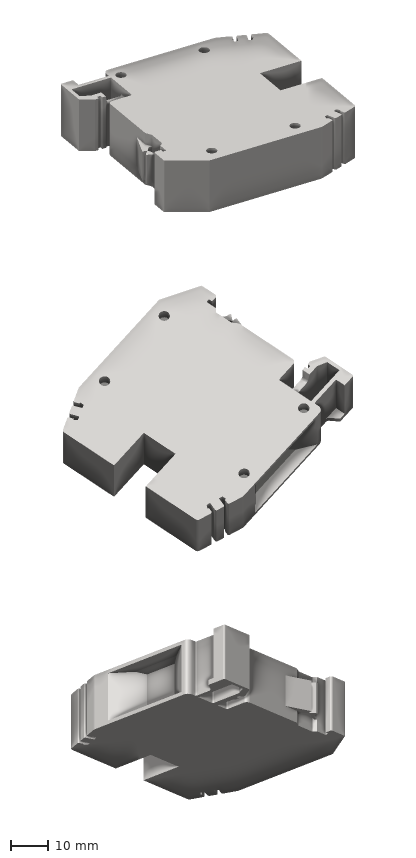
import cadquery as cq
import math

width = 56.0
height = 62.0
thickness = 16.0
half_width = width / 2

shoulder_y = 48.4
top_half_width = 23.0
taper_run = half_width - top_half_width
taper_length = math.hypot(taper_run, height - shoulder_y)
taper_x = -taper_run / taper_length
taper_y = -(height - shoulder_y) / taper_length

slots = [(5.3, -1), (9.2, 1)]
slot_width = 1.1
slot_depth = 2.9
slot_overshoot = 0.6
barb_length = 1.2
barb_height = 0.45
lip_radius = 0.45

belly_corner_radius = 1.5
step_corner_radius = 1.2
small_corner_radius = 0.4
jaw_corner_radius = 0.6
top_corner_radius = 0.9
shoulder_radius = 1.85
foot_corner_radius = 0.45
hook_corner_radius = 0.3
wedge_root_radius = 1.1
root_radius = 0.45

notch_width = 10.8
notch_floor_y = 49.0

belly_y = 13.45
rail_y = 5.95
step_x = -12.95
jaw_inner_x = 16.4
jaw_groove_x = 17.5
jaw_lip_y = 4.9
jaw_bottom_y = 2.65
jaw_outer_x = 21.7
chamfer_top_y = 13.2

recess_y = 7.0
recess_start_x = 6.45
recess_left_x = 8.25
recess_right_x = 13.5
recess_end_x = 14.25

latch_height = 9.0
latch_start_x = 2.0
latch_tip_y = 3.3
latch_meeting_y = 4.7
left_tongue_tip_x = 9.35
left_tongue_meeting_x = 9.7
left_tongue_root_x = 8.3
right_tongue_meeting_x = 9.6
right_tongue_tip_x = 11.15
right_tongue_tip_end_x = 11.6
right_tongue_root_y = 6.8
right_tongue_hollow = (12.35, 5.1)

stem_left_x = -25.05
stem_right_x = -23.95
arm_inner_x = -18.4
arm_outer_x = -16.5
hook_outer_x = -16.0
hook_notch_x = -16.9
foot_floor_y = 1.05
foot_inner_corner_x = -19.8
foot_outer_corner_x = -18.15
bend_y = 3.7
hook_notch_low_y = 4.85
hook_notch_high_y = 5.95
hook_top_y = 7.05
hook_shoulder_y = 7.7

wedge_stem_y = 7.8
wedge_side_y = 5.95
ledge_y = 3.95
wedge_height = 1.5

trough_depth = 2.9
trough_ramp_angle = 74.0
trough_ramp_radius = 1.0
trough_wall_radius = 0.5

pocket_depth = 6.2
pocket_low_y, pocket_high_y = 15.9, 43.3
pocket_floor_low_y, pocket_floor_high_y = 24.4, 34.65
pocket_wall = 1.05
pocket_floor_bottom_z = 3.7
pocket_floor_top_z = thickness - 2.05
pocket_bottom_bend = 3.65
pocket_top_bend = 4.35

pin_diameter = 3.05
pin_depth = 3.1
pin_x = 23.75
pin_rows_y = (16.4, 42.55)


def prism(points, base_z=0.0, depth=thickness):
    return cq.Workplane("XY").workplane(offset=base_z).polyline(points).close().extrude(depth)


def round_corners(body, points, radius):
    """Fillet the edges parallel to Z that stand at the given XY points."""
    reach = 0.03

    def at_corner(edge):
        centre = edge.Center()
        return any(math.hypot(centre.x - x, centre.y - y) < reach for x, y in points)

    edges = [edge for edge in body.edges("|Z").vals() if at_corner(edge)]
    return body.newObject(edges).fillet(radius)


def on_shoulder(along, inward):
    """Point on the left shoulder: distance down the taper, then distance into the body."""
    x = -top_half_width + along * taper_x - inward * taper_y
    y = height + along * taper_y + inward * taper_x
    return (x, y)


def both_sides(points):
    return points + [(-x, y) for x, y in points]


def make_body():
    body = prism([
        (-half_width, belly_y),
        (step_x, belly_y),
        (step_x, rail_y),
        (recess_start_x, rail_y),
        (recess_left_x, recess_y),
        (recess_right_x, recess_y),
        (recess_end_x, rail_y),
        (jaw_groove_x, rail_y),
        (jaw_groove_x, jaw_lip_y),
        (jaw_inner_x, jaw_lip_y),
        (jaw_inner_x, jaw_bottom_y),
        (jaw_outer_x, jaw_bottom_y),
        (half_width, chamfer_top_y),
        (half_width, shoulder_y),
        (top_half_width, height),
        (-top_half_width, height),
        (-half_width, shoulder_y),
    ])
    body = round_corners(body, [(-half_width, belly_y)], belly_corner_radius)
    body = round_corners(body, [(step_x, rail_y)], step_corner_radius)
    body = round_corners(body, [(step_x, belly_y), (jaw_outer_x, jaw_bottom_y)], small_corner_radius)
    body = round_corners(body, [(jaw_inner_x, jaw_bottom_y)], jaw_corner_radius)
    body = round_corners(body, both_sides([(top_half_width, height)]), top_corner_radius)
    body = round_corners(body, both_sides([(half_width, shoulder_y)]), shoulder_radius)

    notch_depth = height - notch_floor_y
    notch = cq.Workplane("XY").box(notch_width, notch_depth, thickness, centered=(True, False, False))
    return body.cut(notch.translate((0, notch_floor_y, 0)))


def cut_shoulder_slots(body):
    lips = []
    for along, barb_side in slots:
        plain_edge = along - barb_side * slot_width / 2
        barbed_edge = along + barb_side * slot_width / 2
        barb_start = slot_depth - barb_length
        slot = prism([
            on_shoulder(plain_edge, -slot_overshoot),
            on_shoulder(plain_edge, slot_depth),
            on_shoulder(barbed_edge, slot_depth),
            on_shoulder(barbed_edge + barb_side * barb_height, barb_start),
            on_shoulder(barbed_edge, barb_start),
            on_shoulder(barbed_edge, -slot_overshoot),
        ])
        body = body.cut(slot).cut(slot.mirror("YZ"))
        lips += [on_shoulder(plain_edge, 0), on_shoulder(barbed_edge, 0)]
    return round_corners(body, both_sides(lips), lip_radius)


def cut_pocket(body):
    outside_x = -half_width
    floor_x = outside_x + pocket_depth
    plan = prism([
        (outside_x, pocket_low_y),
        (floor_x, pocket_floor_low_y),
        (floor_x, pocket_floor_high_y),
        (outside_x, pocket_high_y),
    ])
    section = (
        cq.Workplane("XZ")
        .polyline([
            (outside_x, pocket_wall),
            (outside_x + pocket_bottom_bend, pocket_wall),
            (floor_x, pocket_floor_bottom_z),
            (floor_x, pocket_floor_top_z),
            (outside_x + pocket_top_bend, thickness - pocket_wall),
            (outside_x, thickness - pocket_wall),
        ])
        .close()
        .extrude(-height)
    )
    return body.cut(plan.intersect(section))


def cut_pin_holes(body):
    centres = [(side * pin_x, y) for side in (-1, 1) for y in pin_rows_y]
    pins = cq.Workplane("XY").workplane(offset=thickness - pin_depth)
    return body.cut(pins.pushPoints(centres).circle(pin_diameter / 2).extrude(pin_depth))


def make_latch():
    base_z = (thickness - latch_height) / 2
    left_tongue = prism([
        (latch_start_x, rail_y),
        (left_tongue_tip_x, latch_tip_y),
        (left_tongue_meeting_x, latch_meeting_y),
        (left_tongue_root_x, rail_y),
        (recess_left_x, recess_y),
        (recess_start_x, recess_y),
    ], base_z, latch_height)
    right_tongue = (
        cq.Workplane("XY")
        .workplane(offset=base_z)
        .moveTo(recess_end_x, rail_y)
        .lineTo(recess_end_x, right_tongue_root_y)
        .lineTo(right_tongue_meeting_x, latch_meeting_y)
        .lineTo(right_tongue_tip_x, latch_tip_y)
        .lineTo(right_tongue_tip_end_x, latch_tip_y)
        .threePointArc(right_tongue_hollow, (recess_end_x, rail_y))
        .close()
        .extrude(latch_height)
    )
    return left_tongue.union(right_tongue)


def make_foot():
    foot = prism([
        (stem_left_x, belly_y),
        (stem_left_x, wedge_stem_y),
        (-half_width, wedge_side_y),
        (-half_width, 0),
        (foot_outer_corner_x, 0),
        (hook_outer_x, bend_y),
        (hook_outer_x, hook_notch_low_y),
        (hook_notch_x, hook_notch_low_y),
        (hook_notch_x, hook_notch_high_y),
        (hook_outer_x, hook_notch_high_y),
        (hook_outer_x, hook_top_y),
        (arm_outer_x, hook_shoulder_y),
        (arm_outer_x, belly_y),
        (arm_inner_x, belly_y),
        (arm_inner_x, bend_y),
        (foot_inner_corner_x, foot_floor_y),
        (stem_right_x, foot_floor_y),
        (stem_right_x, belly_y),
    ])
    foot = round_corners(foot, [(-half_width, 0)], foot_corner_radius)
    foot = round_corners(foot, [(hook_outer_x, hook_notch_low_y)], hook_corner_radius)
    foot = round_corners(foot, [(stem_left_x, wedge_stem_y)], wedge_root_radius)

    ledge_gap = (
        cq.Workplane("XY")
        .box(stem_left_x + half_width, belly_y - ledge_y, thickness - wedge_height, centered=False)
        .translate((-half_width, ledge_y, wedge_height))
    )
    return foot.cut(ledge_gap)


def make_trough():
    """Cutter for the trough between the hook and the housing wall."""
    trough_floor_z = thickness - trough_depth
    arm_middle_x = (arm_inner_x + hook_outer_x) / 2
    ramp_foot_y = hook_top_y + trough_depth / math.tan(math.radians(trough_ramp_angle))
    return (
        cq.Workplane("YZ")
        .workplane(offset=arm_inner_x)
        .polyline([
            (hook_top_y, thickness),
            (ramp_foot_y, trough_floor_z),
            (belly_y, trough_floor_z),
            (belly_y, thickness),
        ])
        .close()
        .extrude(hook_outer_x - arm_inner_x)
        .edges(cq.NearestToPointSelector((arm_middle_x, belly_y, trough_floor_z)))
        .fillet(trough_wall_radius)
        .edges(cq.NearestToPointSelector((arm_middle_x, ramp_foot_y, trough_floor_z)))
        .fillet(trough_ramp_radius)
    )


body = make_body()
body = cut_shoulder_slots(body)
body = cut_pocket(body)
body = cut_pin_holes(body)
foot = make_foot().cut(make_trough())
result = body.union(foot).union(make_latch())
result = round_corners(result, [(stem_left_x, belly_y), (arm_inner_x, belly_y)], root_radius)